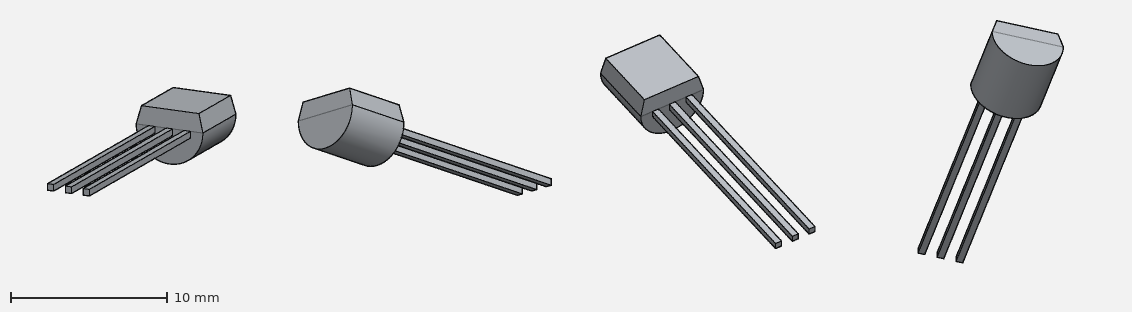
import cadquery as cq

total_length = 19.52

body_radius = 2.38
body_length = 4.82
top_height = 1.23
side_inset = 0.33
end_inset = 0.1

lead_size = 0.45
lead_pitch = 1.27
lead_count = 3
lead_length = total_length - body_length
lead_embed = 0.4


def make_half_cylinder():
    """Rounded lower half of the body, running from Y = 0 to the back end."""
    return (
        cq.Workplane("XZ")
        .moveTo(-body_radius, 0)
        .threePointArc((0, -body_radius), (body_radius, 0))
        .close()
        .extrude(-body_length)
    )


def make_tapered_top():
    """Upper half of the body, narrowing on all four sides towards its flat top."""
    return (
        cq.Workplane("XY")
        .center(0, body_length / 2)
        .rect(2 * body_radius, body_length)
        .workplane(offset=top_height)
        .rect(2 * (body_radius - side_inset), body_length - 2 * end_inset)
        .loft(ruled=True)
    )


def make_lead(x):
    """Straight square lead centred on the given X, leaving the front end of the body."""
    return (
        cq.Workplane("XY")
        .box(lead_size, lead_length + lead_embed, lead_size, centered=(True, False, False))
        .translate((x, -lead_length, -lead_size))
    )


result = make_half_cylinder().union(make_tapered_top())
for index in range(lead_count):
    lead_x = (index - (lead_count - 1) / 2) * lead_pitch
    result = result.union(make_lead(lead_x))